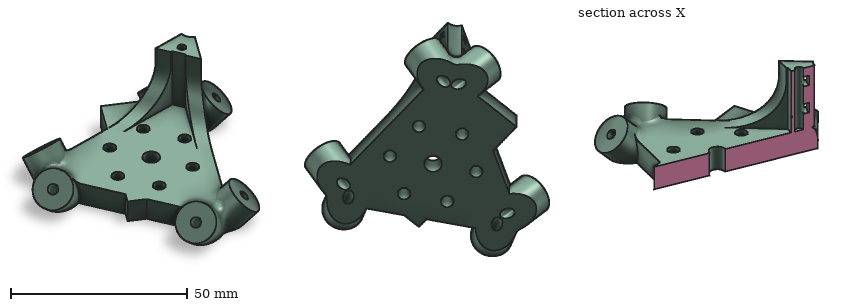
import cadquery as cq
import math

PLATE_HEIGHT = 7.5
PLATE_INRADIUS = 17.5
PLATE_CUT_RADIUS = 4.95
VERTEX_DISTANCE = 2 * PLATE_INRADIUS
VERTEX_ANGLES = (90, 210, 330)
CORNER_HALF_ANGLE = 30
SIDE_ANGLES = (30, 150, 270)

CENTRE_HOLE_DIAMETER = 5.0
RING_HOLE_DIAMETER = 3.6
RING_HOLE_COUNT = 6
RING_RADIUS = 12.5

BOSS_DIAMETER = 12
BOSS_BORE = 3.0
BOSS_TILT = 45
BOSS_OFFSET = 21.5
BOSS_FOOT = 14.95
BOSS_FACE_HEIGHT = 7.9
BOSS_LENGTH = BOSS_FACE_HEIGHT / math.sin(math.radians(BOSS_TILT))
BOSS_BURIED = BOSS_DIAMETER

BLEND_RADIUS = 2.5
VALLEY_DISTANCE = 26.8
VALLEY_HEIGHT = 6.35

BLOCK_ANGLE = -60
BLOCK_WIDTH = 20.2
BLOCK_START = -24.4
BLOCK_END = 17.55

TOTAL_HEIGHT = 27.5
POST_CUT_RADIUS = 4.0
POST_FRONT = 23.05
RIB_RADIUS = 15.0
RIB_THICKNESS = 4.0
POCKET_WALL = 23.5
POST_HOLE_DIAMETER = 2.5
POST_HOLE_Y = 26.0

SLOT_INNER_RADIUS = 5.85
SLOT_OUTER_RADIUS = 7.3
SLOT_HEIGHT = 3.0
SLOT_BOTTOMS = (12.55, 21.45)


def polar(radius, angle):
    """Point at a distance and an angle in degrees from the origin."""
    return (radius * math.cos(math.radians(angle)), radius * math.sin(math.radians(angle)))


VERTICES = [polar(VERTEX_DISTANCE, angle) for angle in VERTEX_ANGLES]


def triangle_prism(height, corner_cut_radius):
    """Triangular prism with a round bite taken out of each corner."""
    prism = cq.Workplane("XY").polyline(VERTICES).close().extrude(height)
    bites = cq.Workplane("XY").pushPoints(VERTICES).circle(corner_cut_radius).extrude(height)
    return prism.cut(bites)


def boss_axis_cylinder(side_angle, offset, diameter, start, end):
    """Cylinder on a boss axis, between two distances from the axis foot on the bottom plane."""
    tilted = cq.Workplane("XY").circle(diameter / 2).extrude(end - start)
    tilted = tilted.translate((0, 0, start))
    tilted = tilted.rotate((0, 0, 0), (0, 1, 0), 90 - BOSS_TILT)
    return tilted.translate((BOSS_FOOT, offset, 0)).rotate((0, 0, 0), (0, 0, 1), side_angle)


def on_each_boss(diameter, start, end):
    """Equal cylinders on all six boss axes."""
    return [
        boss_axis_cylinder(angle, offset, diameter, start, end)
        for angle in SIDE_ANGLES
        for offset in (-BOSS_OFFSET, BOSS_OFFSET)
    ]


def bosses_with_valleys():
    """Bosses cut flat at the bottom plane, with the valley of each corner pair rounded."""
    bosses = cq.Workplane("XY")
    for boss in on_each_boss(BOSS_DIAMETER, -BOSS_BURIED, BOSS_LENGTH):
        bosses = bosses.add(boss)
    bosses = bosses.combine()
    size = 4 * VERTEX_DISTANCE
    bosses = bosses.intersect(cq.Workplane("XY").box(size, size, size, centered=(True, True, False)))
    for angle in VERTEX_ANGLES:
        x, y = polar(VALLEY_DISTANCE, angle)
        at_valley = cq.selectors.NearestToPointSelector((x, y, VALLEY_HEIGHT))
        bosses = bosses.edges(at_valley).fillet(BLEND_RADIUS)
    return bosses


def plate_with_bosses():
    """Plate and bosses joined, rounded where the bosses rise from the plate top."""
    body = triangle_prism(PLATE_HEIGHT, PLATE_CUT_RADIUS).union(bosses_with_valleys())
    plate_top = cq.selectors.NearestToPointSelector((0, 0, PLATE_HEIGHT))
    return body.faces(plate_top).edges("not %LINE").fillet(BLEND_RADIUS)


def block():
    """Rectangular block as thick as the plate, turned in plan."""
    bar = cq.Workplane("XY").rect(BLOCK_END - BLOCK_START, BLOCK_WIDTH).extrude(PLATE_HEIGHT)
    bar = bar.translate(((BLOCK_START + BLOCK_END) / 2, 0, 0))
    return bar.rotate((0, 0, 0), (0, 0, 1), BLOCK_ANGLE)


def post():
    """Corner of the triangle carried up to full height, running out along two curved ribs."""
    rib_end = POST_FRONT - RIB_RADIUS
    rib_top = PLATE_HEIGHT + RIB_RADIUS
    profile = (
        cq.Workplane("YZ")
        .moveTo(rib_end, PLATE_HEIGHT)
        .radiusArc((POST_FRONT, rib_top), -RIB_RADIUS)
        .lineTo(POST_FRONT, TOTAL_HEIGHT)
        .lineTo(VERTEX_DISTANCE, TOTAL_HEIGHT)
        .lineTo(VERTEX_DISTANCE, PLATE_HEIGHT)
        .close()
        .extrude(VERTEX_DISTANCE, both=True)
    )
    inner_vertex = VERTEX_DISTANCE - 2 * RIB_THICKNESS
    slope = math.tan(math.radians(CORNER_HALF_ANGLE))
    half_wall = (inner_vertex - POCKET_WALL) * slope
    half_mouth = inner_vertex * slope
    pocket = (
        cq.Workplane("XY")
        .polyline([(-half_wall, POCKET_WALL), (half_wall, POCKET_WALL), (half_mouth, 0), (-half_mouth, 0)])
        .close()
        .extrude(TOTAL_HEIGHT)
    )
    return triangle_prism(TOTAL_HEIGHT, POST_CUT_RADIUS).intersect(profile).cut(pocket)


def plate_holes():
    """Centre hole and the ring of smaller holes around it."""
    centre = cq.Workplane("XY").circle(CENTRE_HOLE_DIAMETER / 2).extrude(PLATE_HEIGHT)
    ring = (
        cq.Workplane("XY")
        .polarArray(RING_RADIUS, 0, 360, RING_HOLE_COUNT)
        .circle(RING_HOLE_DIAMETER / 2)
        .extrude(PLATE_HEIGHT)
    )
    return centre.union(ring)


def post_hole():
    """Blind hole from the post top down to the level of the plate top."""
    return (
        cq.Workplane("XY", origin=(0, POST_HOLE_Y, TOTAL_HEIGHT))
        .circle(POST_HOLE_DIAMETER / 2)
        .extrude(PLATE_HEIGHT - TOTAL_HEIGHT)
    )


def strap_slot(bottom):
    """Flat ring around the uncut corner, leaving a curved slot through the post."""
    return (
        cq.Workplane("XY", origin=(0, VERTEX_DISTANCE, bottom))
        .circle(SLOT_OUTER_RADIUS)
        .circle(SLOT_INNER_RADIUS)
        .extrude(SLOT_HEIGHT)
    )


slotted_post = post()
for bottom in SLOT_BOTTOMS:
    slotted_post = slotted_post.cut(strap_slot(bottom))

body = plate_with_bosses().union(block()).union(slotted_post).cut(plate_holes()).cut(post_hole())
for bore in on_each_boss(BOSS_BORE, -BOSS_BURIED, BOSS_LENGTH):
    body = body.cut(bore)

result = body